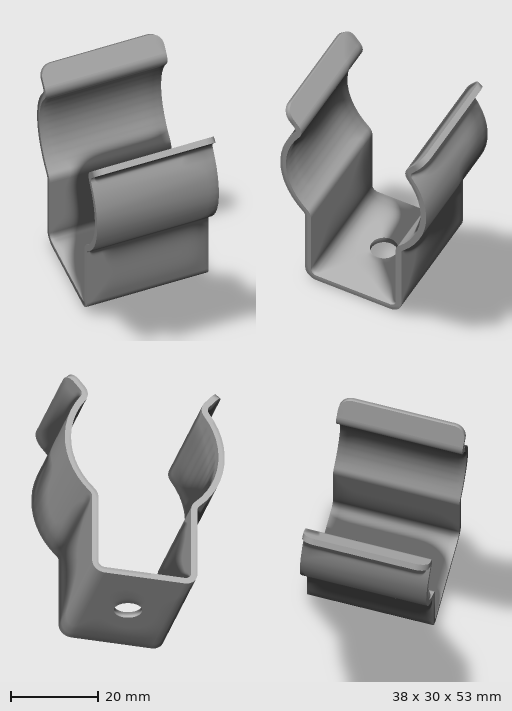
import cadquery as cq
import math

height = 52.95
depth = 30.0
sheet = 1.5
width = 38.0
grip_radius = width / 2
grip_height = 35.0
half_base = 12.5
inner_bend = sheet
outer_bend = inner_bend + sheet
hole_diameter = 6.5

lip_angle = math.radians(50)
tip_half_gap = 17.5
lip_corner_radius = 3.0

lip_dir = (math.cos(lip_angle), math.sin(lip_angle))
tip_inner = (tip_half_gap, height)
tip_outer = (tip_half_gap + sheet * lip_dir[1], height - sheet * lip_dir[0])


def neck_point(x, radius):
    """Lower crossing of a vertical wall face with a grip circle."""
    return (x, grip_height - math.sqrt(radius**2 - x**2))


def throat_point(tip, radius):
    """Upper crossing of a lip face through its tip with a grip circle."""
    rise = tip[1] - grip_height
    along = tip[0] * lip_dir[0] + rise * lip_dir[1]
    excess = tip[0]**2 + rise**2 - radius**2
    travel = along - math.sqrt(along**2 - excess)
    return (tip[0] - travel * lip_dir[0], tip[1] - travel * lip_dir[1])


inner_radius = grip_radius - sheet
inner_x = half_base - sheet
neck_outer = neck_point(half_base, grip_radius)
neck_inner = neck_point(inner_x, inner_radius)
throat_outer = throat_point(tip_outer, grip_radius)
throat_inner = throat_point(tip_inner, inner_radius)

half = (
    cq.Workplane("XZ")
    .moveTo(0, 0)
    .lineTo(half_base, 0)
    .lineTo(*neck_outer)
    .threePointArc((grip_radius, grip_height), throat_outer)
    .lineTo(*tip_outer)
    .lineTo(*tip_inner)
    .lineTo(*throat_inner)
    .threePointArc((inner_radius, grip_height), neck_inner)
    .lineTo(inner_x, sheet)
    .lineTo(0, sheet)
    .close()
    .extrude(depth / 2, both=True)
)


def round_bend(body, point, radius):
    """Round the full-depth edge that passes through an XZ point."""
    edge = cq.selectors.NearestToPointSelector((point[0], 0, point[1]))
    return body.edges("|Y").edges(edge).fillet(radius)


for corner, bend_radius in (
    ((half_base, 0), outer_bend),
    ((inner_x, sheet), inner_bend),
    (neck_outer, inner_bend),
    (neck_inner, outer_bend),
    (throat_outer, inner_bend),
    (throat_inner, outer_bend),
):
    half = round_bend(half, corner, bend_radius)

tip_middle = ((tip_inner[0] + tip_outer[0]) / 2, (tip_inner[1] + tip_outer[1]) / 2)
for side in (-1, 1):
    tip_corner = (tip_middle[0], side * depth / 2, tip_middle[1])
    half = half.edges(cq.selectors.NearestToPointSelector(tip_corner)).fillet(lip_corner_radius)

clip = half.union(half.mirror("YZ")).clean()
hole = cq.Workplane("XY").circle(hole_diameter / 2).extrude(sheet)
result = clip.cut(hole)